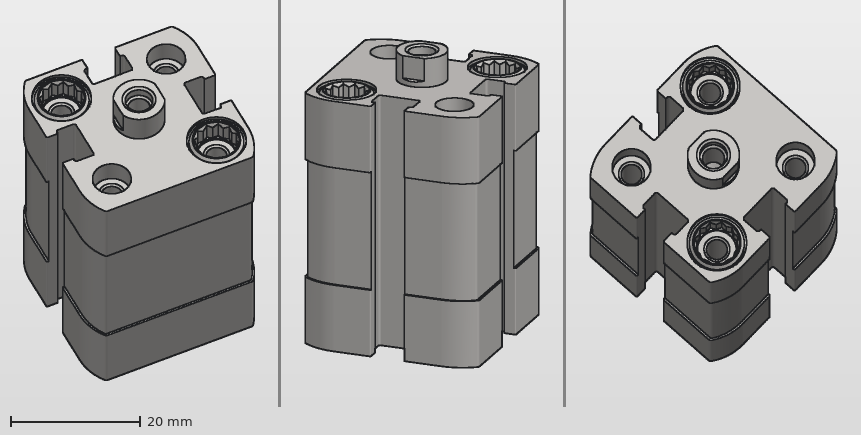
import cadquery as cq
import math

total_height = 46.05
body_width = 29.0
body_height = 41.3
cap_height = 10.95
barrel_inset = 0.35

corner_arc_radius = 9.0
corner_edge_radius = 0.55

slot_mouth_width = 5.55
slot_inner_width = 6.9
slot_depth = 5.2
slot_lip_thickness = 1.95
slot_inner_radius = 0.35
slot_mouth_radius = 0.2

mount_offset = 9.0
mount_bore_diameter = 6.0
mount_bore_depth = 3.6
mount_hole_diameter = 3.22
mount_hole_mouth_diameter = 4.0

screw_groove_diameter = 9.2
screw_head_diameter = 8.5
screw_rim_diameter = 7.45
socket_flat_width = 6.0
socket_depth = 3.2
socket_mouth_diameter = 7.28
socket_mouth_depth = 1.85
socket_hexagon_sides = 6

rod_diameter = 8.0
rod_flat_width = 7.2
rod_flat_length = 3.7
rod_hole_mouth_diameter = 5.2
rod_counterbore_diameter = 4.3
rod_counterbore_depth = 1.6
rod_hole_diameter = 3.4
rod_hole_depth = 9.2

countersink_angle = 120.0
drill_point_angle = 118.0
socket_mouth_angle = 60.0
bevel_angle = 90.0


def cone_depth(large_diameter, small_diameter, included_angle):
    """Height of a cone between two diameters."""
    return (large_diameter - small_diameter) / 2 / math.tan(math.radians(included_angle / 2))


def revolve_profile(points):
    """Solid of revolution about Z from (radius, z) points."""
    return cq.Workplane("XZ").polyline(points).close().revolve(360, (0, 0), (0, 1))


def housing_block(width, height):
    """Square block whose four corners are wide arcs tangent to the +Y and -Y sides."""
    half = width / 2
    arc_run = half - mount_offset

    def arc_drop(run):
        return corner_arc_radius - math.sqrt(corner_arc_radius**2 - run**2)

    corner_y = half - arc_drop(arc_run)
    middle_x = mount_offset + arc_run / 2
    middle_y = half - arc_drop(arc_run / 2)
    return (
        cq.Workplane("XY")
        .moveTo(-mount_offset, -half)
        .lineTo(mount_offset, -half)
        .threePointArc((middle_x, -middle_y), (half, -corner_y))
        .lineTo(half, corner_y)
        .threePointArc((middle_x, middle_y), (mount_offset, half))
        .lineTo(-mount_offset, half)
        .threePointArc((-middle_x, middle_y), (-half, corner_y))
        .lineTo(-half, -corner_y)
        .threePointArc((-middle_x, -middle_y), (-mount_offset, -half))
        .close()
        .extrude(height)
        .edges("|Z and (<X or >X)")
        .fillet(corner_edge_radius)
    )


def slot_cutter():
    """Full-height T-slot opening toward -X, with a mouth that flares out round its lips."""
    face_x = -body_width / 2
    chamber_length = slot_depth - slot_lip_thickness
    chamber_middle_x = face_x + slot_lip_thickness + chamber_length / 2
    chamber = (
        cq.Workplane("XY")
        .center(chamber_middle_x, 0)
        .rect(chamber_length, slot_inner_width)
        .extrude(body_height)
        .edges("|Z")
        .fillet(slot_inner_radius)
    )
    half_mouth = slot_mouth_width / 2
    flare = half_mouth + slot_mouth_radius
    round_end_x = face_x + slot_mouth_radius
    round_offset = slot_mouth_radius * (1 - math.sqrt(0.5))
    mouth = (
        cq.Workplane("XY")
        .moveTo(face_x, -flare)
        .threePointArc((face_x + round_offset, -half_mouth - round_offset), (round_end_x, -half_mouth))
        .lineTo(chamber_middle_x, -half_mouth)
        .lineTo(chamber_middle_x, half_mouth)
        .lineTo(round_end_x, half_mouth)
        .threePointArc((face_x + round_offset, half_mouth + round_offset), (face_x, flare))
        .close()
        .extrude(body_height)
    )
    return chamber.union(mouth)


def mounting_hole_cutter():
    """Counterbored through hole with a countersink below the counterbore."""
    bore_floor_z = body_height - mount_bore_depth
    cone_end_z = bore_floor_z - cone_depth(
        mount_hole_mouth_diameter, mount_hole_diameter, countersink_angle
    )
    return revolve_profile([
        (0, 0),
        (mount_hole_diameter / 2, 0),
        (mount_hole_diameter / 2, cone_end_z),
        (mount_hole_mouth_diameter / 2, bore_floor_z),
        (mount_bore_diameter / 2, bore_floor_z),
        (mount_bore_diameter / 2, body_height),
        (0, body_height),
    ])


def screw_head_cutter():
    """Groove round a bevelled screw head, and its twelve-point socket with a faceted mouth."""
    groove_floor_z = body_height - cone_depth(screw_head_diameter, screw_rim_diameter, bevel_angle)
    cutter = revolve_profile([
        (screw_rim_diameter / 2, body_height),
        (screw_head_diameter / 2, groove_floor_z),
        (screw_groove_diameter / 2, groove_floor_z),
        (screw_groove_diameter / 2, body_height),
    ])

    mouth = (
        cq.Workplane("XY", origin=(0, 0, body_height))
        .polygon(2 * socket_hexagon_sides, socket_mouth_diameter)
        .extrude(-socket_mouth_depth, taper=socket_mouth_angle / 2)
    )
    cutter = cutter.union(mouth)

    hexagon_diameter = socket_flat_width / math.cos(math.pi / socket_hexagon_sides)
    for angle in (0, 180 / socket_hexagon_sides):
        hexagon = (
            cq.Workplane("XY", origin=(0, 0, body_height - socket_depth))
            .polygon(socket_hexagon_sides, hexagon_diameter)
            .extrude(socket_depth)
            .rotate((0, 0, 0), (0, 0, 1), angle)
        )
        cutter = cutter.union(hexagon)
    return cutter


def make_rod():
    """Round piston rod with two wrench flats and a stepped blind hole in its top."""
    rod_length = total_height - cap_height
    rod = cq.Workplane("XY", origin=(0, 0, cap_height)).circle(rod_diameter / 2).extrude(rod_length)

    half_flat = rod_flat_width / 2
    flat_end_z = total_height - rod_flat_length
    step_foot_z = flat_end_z - cone_depth(rod_diameter, rod_flat_width, countersink_angle)
    for side in (-1, 1):
        flat = (
            cq.Workplane("YZ")
            .polyline([
                (side * half_flat, total_height),
                (side * half_flat, flat_end_z),
                (side * rod_diameter / 2, step_foot_z),
                (side * rod_diameter / 2, total_height),
            ])
            .close()
            .extrude(rod_diameter / 2, both=True)
        )
        rod = rod.cut(flat)

    mouth_end_z = total_height - cone_depth(
        rod_hole_mouth_diameter, rod_counterbore_diameter, countersink_angle
    )
    step_z = total_height - rod_counterbore_depth
    step_end_z = step_z - cone_depth(rod_counterbore_diameter, rod_hole_diameter, countersink_angle)
    hole_end_z = total_height - rod_hole_depth
    drill_point_length = cone_depth(rod_hole_diameter, 0, drill_point_angle)
    hole = revolve_profile([
        (0, total_height),
        (rod_hole_mouth_diameter / 2, total_height),
        (rod_counterbore_diameter / 2, mouth_end_z),
        (rod_counterbore_diameter / 2, step_z),
        (rod_hole_diameter / 2, step_end_z),
        (rod_hole_diameter / 2, hole_end_z),
        (0, hole_end_z - drill_point_length),
    ])
    return rod.cut(hole).solids()


def make_housing():
    """One-piece housing: two end caps, a slightly narrower barrel, slots, holes and the rod bore."""
    barrel_width = body_width - 2 * barrel_inset
    housing = housing_block(barrel_width, body_height)
    for cap_z in (0, body_height - cap_height):
        housing = housing.union(housing_block(body_width, cap_height).translate((0, 0, cap_z)))

    for angle in (0, 90, -90):
        housing = housing.cut(slot_cutter().rotate((0, 0, 0), (0, 0, 1), angle))

    for x_side in (-1, 1):
        for y_side in (-1, 1):
            position = (x_side * mount_offset, y_side * mount_offset, 0)
            housing = housing.cut(mounting_hole_cutter().translate(position))
            if x_side == y_side:
                housing = housing.cut(screw_head_cutter().translate(position))

    rod_bore = (
        cq.Workplane("XY", origin=(0, 0, cap_height))
        .circle(rod_diameter / 2)
        .extrude(body_height - cap_height)
    )
    return housing.cut(rod_bore).solids()


housing = make_housing()
rod = make_rod()
result = cq.Compound.makeCompound([housing.val(), rod.val()])